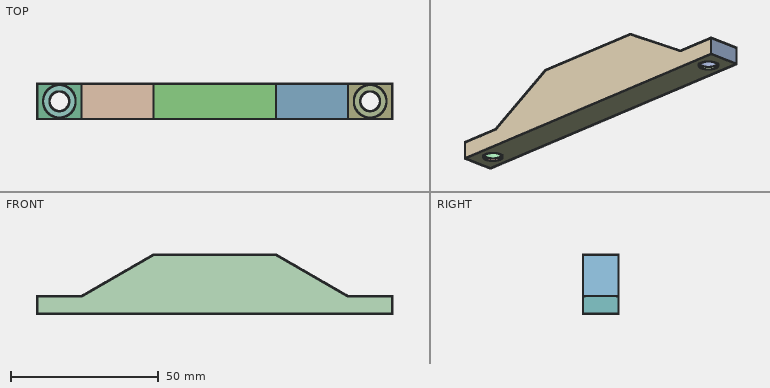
import cadquery as cq
import math

length = 120.0
width = 12.0
height = 20.0

tab_length = 15.0
tab_thickness = 6.0
ramp_angle = 30.0

hole_diameter = 6.6
counterbore_diameter = 11.0
counterbore_depth = 5.0

half_length = length / 2
ramp_foot = half_length - tab_length
ramp_run = (height - tab_thickness) / math.tan(math.radians(ramp_angle))
ramp_top = ramp_foot - ramp_run
hole_offset = half_length - tab_length / 2

bar = (
    cq.Workplane("XZ")
    .moveTo(-half_length, 0)
    .lineTo(half_length, 0)
    .lineTo(half_length, tab_thickness)
    .lineTo(ramp_foot, tab_thickness)
    .lineTo(ramp_top, height)
    .lineTo(-ramp_top, height)
    .lineTo(-ramp_foot, tab_thickness)
    .lineTo(-half_length, tab_thickness)
    .close()
    .extrude(width / 2, both=True)
)

result = (
    bar.copyWorkplane(cq.Workplane("XY", origin=(0, 0, tab_thickness)))
    .pushPoints([(-hole_offset, 0), (hole_offset, 0)])
    .cboreHole(hole_diameter, counterbore_diameter, counterbore_depth, depth=tab_thickness)
)